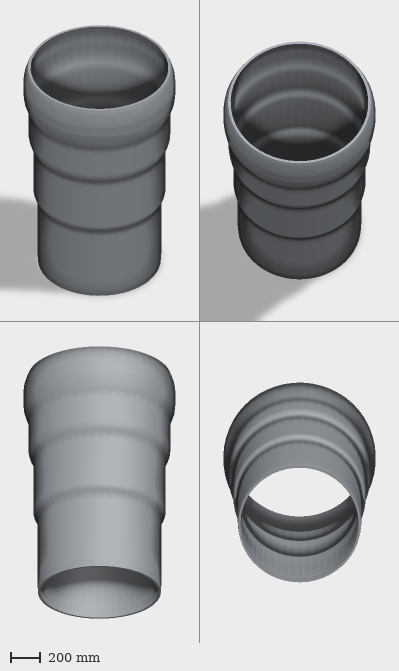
import cadquery as cq
import math

height = 1600.0
wall = 16.0

spigot_dia = 830.0
middle_dia = 890.0
upper_dia = 952.0
bell_dia = 1022.0

spigot_top = 509.0
middle_top = 945.0
upper_top = 1245.0
bell_top = 1474.0

step_angle = math.radians(31.6)
step_bend = 85.0
step_slant = 13.0
bell_angle = math.radians(25)
bell_bend = 117.0

mouth_angle = math.radians(24)
mouth_bend = 258.0

tip_height = 50.0
tip_inset = 3.0

touching = 0.02


def bend(centre, radius, start, end):
    """Three points of an arc; a negative radius puts the arc on the axis side of its centre."""
    return [
        (centre[0] + radius * math.cos(a), centre[1] + radius * math.sin(a))
        for a in (start, (start + end) / 2, end)
    ]


def step_up(low_dia, high_dia, low_z, angle, low_bend, slant=0.0):
    """Outer and inner bends of an S-shaped widening.

    The wall keeps its thickness, so the bends on both faces share their centres.
    The upper bend radius follows from the rise. Returns a list of
    (outer_bend, inner_bend) pairs; a bend is its (start, middle, end) points.
    """
    low_r = low_dia / 2
    high_r = high_dia / 2
    rise = high_r - low_r
    high_bend = (rise - slant * math.sin(angle)) / (1 - math.cos(angle)) - low_bend
    high_z = low_z + (low_bend + high_bend) * math.sin(angle) + slant * math.cos(angle)

    def low_arc(radius):
        return bend((low_r + low_bend, low_z), -radius, 0, -angle)

    def high_arc(radius):
        return bend((high_r - high_bend, high_z), radius, -angle, 0)

    return [
        (low_arc(low_bend), low_arc(low_bend + wall)),
        (high_arc(high_bend), high_arc(high_bend - wall)),
    ]


def mouth():
    """Outer and inner bends that curl the top of the bell inward."""
    centre = (bell_dia / 2 - mouth_bend, bell_top)
    return (
        bend(centre, mouth_bend, 0, mouth_angle),
        bend(centre, mouth_bend - wall, 0, mouth_angle),
    )


def rim_point(bend_end):
    """Point on the rim reached by the cone tangent to a mouth bend."""
    r, z = bend_end
    return (r - (height - z) * math.tan(mouth_angle), height)


def add_bend(outline, points, last):
    """Draw on to a bend, with a straight line first if there is a gap from the last point."""
    start, middle, end = points
    if math.dist(last, start) > touching:
        outline = outline.lineTo(*start)
    return outline.threePointArc(middle, end)


bends = (
    step_up(spigot_dia, middle_dia, spigot_top, step_angle, step_bend, step_slant)
    + step_up(middle_dia, upper_dia, middle_top, step_angle, step_bend)
    + step_up(upper_dia, bell_dia, upper_top, bell_angle, bell_bend)
    + [mouth()]
)

spigot_r = spigot_dia / 2
outer_mouth, inner_mouth = bends[-1]
last = (spigot_r, tip_height)
section = cq.Workplane("XZ").moveTo(spigot_r - tip_inset, 0).lineTo(*last)
for outer, _ in bends:
    section = add_bend(section, outer, last)
    last = outer[-1]
last = rim_point(inner_mouth[-1])
section = section.lineTo(*rim_point(outer_mouth[-1])).lineTo(*last)
for _, inner in reversed(bends):
    section = add_bend(section, inner[::-1], last)
    last = inner[0]
section = section.lineTo(spigot_r - wall, tip_height).lineTo(spigot_r - wall - tip_inset, 0).close()

result = section.revolve(360, (0, 0, 0), (0, 1, 0))